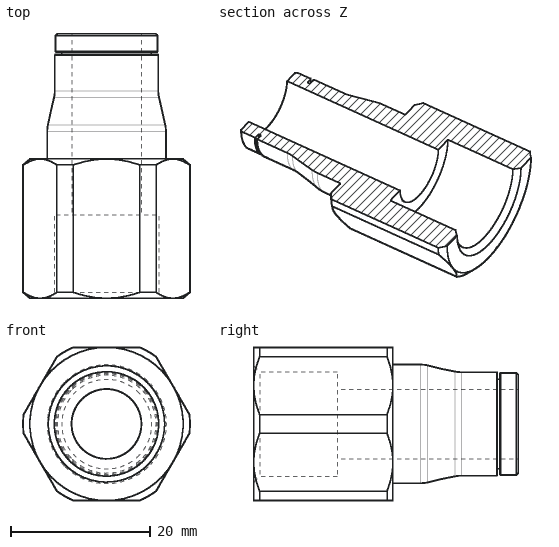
import cadquery as cq
import math

hex_across_flats = 22.0
hex_corner_diameter = 24.0
hex_length = 20.0
hex_bevel_length = 0.85

overall_length = 38.0
collar_radius = 8.55
collar_end = 23.95
barrel_radius = 7.45
barrel_start = 29.8
barrel_end = 35.0
barrel_chamfer = 0.1
neck_blend_length = 0.95
groove_radius = 6.45
groove_width = 0.35
cap_radius = 7.35
cap_rim_chamfer = 0.3
cap_back_chamfer = 0.1

inlet_radius = 7.5
inlet_mouth_radius = 8.35
inlet_countersink_depth = inlet_mouth_radius - inlet_radius
inlet_depth = 12.0
tube_bore_radius = 5.0


def revolve_about_y(profile):
    """Turn a closed radius/length profile (drawn in XY) around the Y axis."""
    return profile.close().revolve(360, (0, 0, 0), (0, 1, 0))


def make_hex_body():
    """Hexagonal prism with turned corners and conical bevels at both ends."""
    circumscribed_diameter = hex_across_flats / math.cos(math.pi / 6)
    prism = cq.Workplane("XZ").polygon(6, circumscribed_diameter).extrude(-hex_length)
    end_radius = hex_across_flats / 2
    corner_radius = hex_corner_diameter / 2
    bevelled_blank = revolve_about_y(
        cq.Workplane("XY")
        .moveTo(0, 0)
        .lineTo(end_radius, 0)
        .lineTo(corner_radius, hex_bevel_length)
        .lineTo(corner_radius, hex_length - hex_bevel_length)
        .lineTo(end_radius, hex_length)
        .lineTo(0, hex_length)
    )
    return prism.intersect(bevelled_blank)


def make_tail():
    """Turned tail whose conical neck blends tangentially into collar and barrel."""
    neck_drop = collar_radius - barrel_radius
    neck_length = barrel_start - collar_end
    cone_angle = math.atan(neck_drop / (neck_length - neck_blend_length))
    half_angle = cone_angle / 2
    blend_radius = neck_blend_length / math.sin(cone_angle)
    blend_drop = blend_radius * (1 - math.cos(cone_angle))
    mid_advance = blend_radius * math.sin(half_angle)
    mid_drop = blend_radius * (1 - math.cos(half_angle))
    cap_start = barrel_end + groove_width

    return revolve_about_y(
        cq.Workplane("XY")
        .moveTo(0, hex_length)
        .lineTo(collar_radius, hex_length)
        .lineTo(collar_radius, collar_end)
        .threePointArc(
            (collar_radius - mid_drop, collar_end + mid_advance),
            (collar_radius - blend_drop, collar_end + neck_blend_length),
        )
        .lineTo(barrel_radius + blend_drop, barrel_start - neck_blend_length)
        .threePointArc(
            (barrel_radius + mid_drop, barrel_start - mid_advance),
            (barrel_radius, barrel_start),
        )
        .lineTo(barrel_radius, barrel_end - barrel_chamfer)
        .lineTo(barrel_radius - barrel_chamfer, barrel_end)
        .lineTo(groove_radius, barrel_end)
        .lineTo(groove_radius, cap_start)
        .lineTo(cap_radius - cap_back_chamfer, cap_start)
        .lineTo(cap_radius, cap_start + cap_back_chamfer)
        .lineTo(cap_radius, overall_length - cap_rim_chamfer)
        .lineTo(cap_radius - cap_rim_chamfer, overall_length)
        .lineTo(0, overall_length)
    )


def make_bores():
    """Countersunk inlet bore stepping down to the tube bore that runs right through."""
    return revolve_about_y(
        cq.Workplane("XY")
        .moveTo(0, 0)
        .lineTo(inlet_mouth_radius, 0)
        .lineTo(inlet_radius, inlet_countersink_depth)
        .lineTo(inlet_radius, inlet_depth)
        .lineTo(tube_bore_radius, inlet_depth)
        .lineTo(tube_bore_radius, overall_length)
        .lineTo(0, overall_length)
    )


result = make_hex_body().union(make_tail()).cut(make_bores())